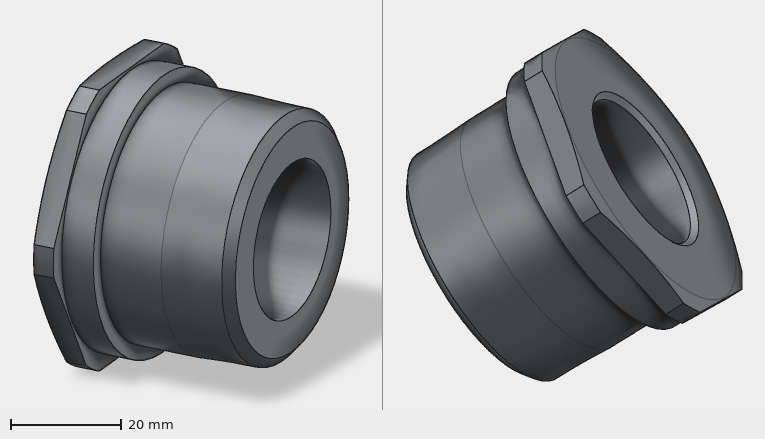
import cadquery as cq
import math

across_flats = 55.0
corner_diameter = 60.5
hex_thickness = 4.85
hex_face_diameter = 54.55
hex_chamfer_depth = 0.8

collar_end = 11.3
straight_end = 23.7
taper_end = 35.9
total_length = 37.7

collar_diameter = 54.05
body_diameter = 48.5
taper_end_diameter = 47.8
tip_diameter = 43.8

bore_diameter = 29.95
bore_mouth_diameter = 32.05
bore_chamfer_depth = (bore_mouth_diameter - bore_diameter) / 2


def revolve_about_x(profile):
    """Revolve a closed (x, radius) profile about the X axis."""
    return cq.Workplane("XY").polyline(profile).close().revolve(360, (0, 0, 0), (1, 0, 0))


def make_hex_flange():
    """Hexagon with flats facing Z, rounded corners and a conical front chamfer."""
    across_corners = across_flats / math.cos(math.pi / 6)
    hexagon = cq.Workplane("YZ").polygon(6, across_corners).extrude(hex_thickness)
    corner_envelope = revolve_about_x([
        (0, 0),
        (0, hex_face_diameter / 2),
        (hex_chamfer_depth, corner_diameter / 2),
        (hex_thickness, corner_diameter / 2),
        (hex_thickness, 0),
    ])
    return hexagon.intersect(corner_envelope)


def make_barrel():
    """Collar, straight body, slight taper and chamfered tip."""
    return revolve_about_x([
        (hex_thickness, 0),
        (hex_thickness, collar_diameter / 2),
        (collar_end, collar_diameter / 2),
        (collar_end, body_diameter / 2),
        (straight_end, body_diameter / 2),
        (taper_end, taper_end_diameter / 2),
        (total_length, tip_diameter / 2),
        (total_length, 0),
    ])


def make_bore():
    """Through hole with a 45 degree mouth at the hexagon face."""
    return revolve_about_x([
        (0, 0),
        (0, bore_mouth_diameter / 2),
        (bore_chamfer_depth, bore_diameter / 2),
        (total_length, bore_diameter / 2),
        (total_length, 0),
    ])


result = make_hex_flange().union(make_barrel()).cut(make_bore())